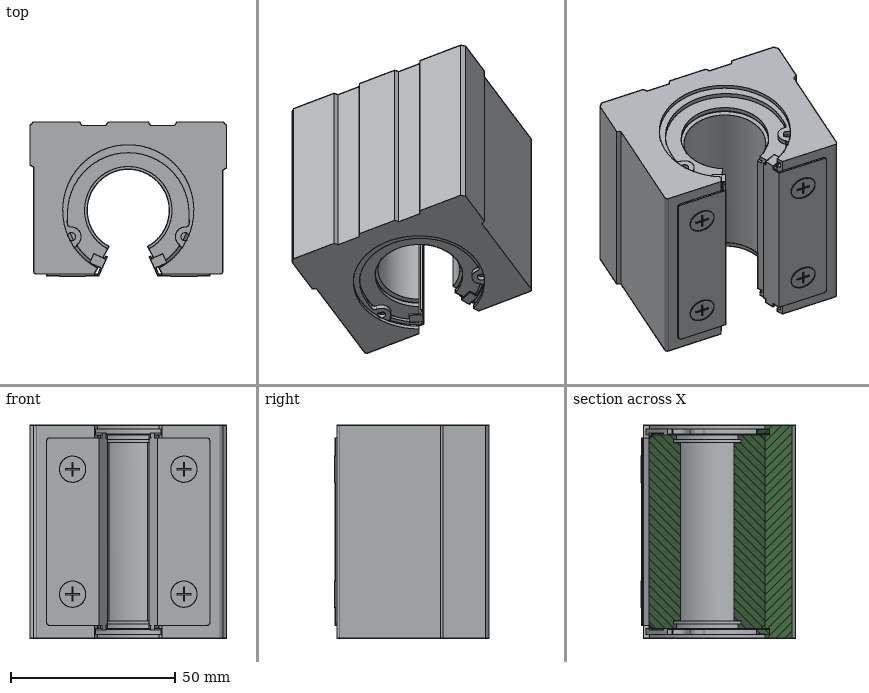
import cadquery as cq
import math


LENGTH = 65.0
WIDTH = 60.0
BACK_Y = 27.0
FRONT_Y = -19.45
BACK_CHAMFER = 1.1
FRONT_FILLET = 0.85
STEP_INSET = 1.2
STEP_DROP = 0.8
LEFT_STEP_Y = 13.85
RIGHT_STEP_Y = 12.95
GROOVE_CENTER_X = 10.45
GROOVE_FLOOR_WIDTH = 7.3
GROOVE_MOUTH_WIDTH = 8.8
GROOVE_DEPTH = 1.1

BORE_RADIUS = 40.0 / 2
SLOT_HALF_ANGLE = 28.0
RING_GROOVE_RADIUS = 21.2
RING_INSET = 1.25

BUSHING_INSET = 3.0
SHAFT_RADIUS = 12.5
MOUTH_RADIUS = 13.3
MOUTH_DEPTH = 1.4
SEAL_GROOVE_RADIUS = 14.0
SEAL_GROOVE_WIDTH = 0.9
BUSHING_CHAMFER = 1.0

RING_THICKNESS = 1.5
RING_INNER_RADIUS = 18.5
RING_INNER_OFFSET = 1.0
RING_END_ANGLE = 55.2
RING_END_INNER_RADIUS = 18.8
EAR_X = 17.3
EAR_Y = -8.05
EAR_RADIUS = 2.9
EAR_HOLE_RADIUS = 2.5 / 2
EAR_FILLET = 1.2

SHEET = 0.5
PLATE_OUTER_X = 24.9
PLATE_LENGTH = 57.2
PLATE_CORNER = 1.0
LEG_ANGLE = 24.2
LEG_TIP_RADIUS = 15.55
FLANGE_START = 16.4
FLANGE_END = 19.45
FLANGE_REACH = 4.15

HEAD_RADIUS = 8.0 / 2
HEAD_PROUD = 0.25
HEAD_X = 16.95
HEAD_Z = 19.05
CROSS_LENGTH = 4.2
CROSS_WIDTH = 0.4
CROSS_DEPTH = 0.5

HALF_LENGTH = LENGTH / 2
HALF_WIDTH = WIDTH / 2
BUSHING_END = HALF_LENGTH - BUSHING_INSET
PLATE_FRONT_Y = FRONT_Y - SHEET


def prism(sketch_points, z_low, z_high):
    """Polygon extruded along Z."""
    return cq.Workplane("XY").workplane(offset=z_low).polyline(sketch_points).close().extrude(z_high - z_low)


def rod(radius, z_low, z_high, x=0, y=0):
    """Round bar along Z."""
    return cq.Workplane("XY").workplane(offset=z_low).center(x, y).circle(radius).extrude(z_high - z_low)


def wedge(half_angle):
    """Full-length sector about -Y, long enough to pass through the block."""
    depth = 2 * BACK_Y
    half_mouth = depth * math.tan(math.radians(half_angle))
    points = [(0, 0), (-half_mouth, -depth), (half_mouth, -depth)]
    return prism(points, -LENGTH, LENGTH)


def both_ends(upper):
    """The given upper feature joined with its mirror image at the lower end."""
    return upper.union(upper.mirror("XY"))


def make_housing():
    lower_x = HALF_WIDTH - STEP_INSET
    points = [
        (-lower_x, FRONT_Y),
        (lower_x, FRONT_Y),
        (lower_x, RIGHT_STEP_Y - STEP_DROP),
        (HALF_WIDTH, RIGHT_STEP_Y),
        (HALF_WIDTH, BACK_Y - BACK_CHAMFER),
        (HALF_WIDTH - BACK_CHAMFER, BACK_Y),
        (-HALF_WIDTH + BACK_CHAMFER, BACK_Y),
        (-HALF_WIDTH, BACK_Y - BACK_CHAMFER),
        (-HALF_WIDTH, LEFT_STEP_Y),
        (-lower_x, LEFT_STEP_Y - STEP_DROP),
    ]
    body = prism(points, -HALF_LENGTH, HALF_LENGTH)
    body = body.edges("|Z and <Y").fillet(FRONT_FILLET)

    for center_x in (-GROOVE_CENTER_X, GROOVE_CENTER_X):
        groove = [
            (center_x - GROOVE_MOUTH_WIDTH / 2, BACK_Y),
            (center_x - GROOVE_FLOOR_WIDTH / 2, BACK_Y - GROOVE_DEPTH),
            (center_x + GROOVE_FLOOR_WIDTH / 2, BACK_Y - GROOVE_DEPTH),
            (center_x + GROOVE_MOUTH_WIDTH / 2, BACK_Y),
        ]
        body = body.cut(prism(groove, -HALF_LENGTH, HALF_LENGTH))

    ring_groove = rod(RING_GROOVE_RADIUS, BUSHING_END, HALF_LENGTH - RING_INSET)
    body = body.cut(rod(BORE_RADIUS, -HALF_LENGTH, HALF_LENGTH))
    body = body.cut(both_ends(ring_groove))
    return body.cut(wedge(SLOT_HALF_ANGLE))


def make_bushing():
    body = rod(BORE_RADIUS, -BUSHING_END, BUSHING_END)
    body = body.faces("|Z").edges().chamfer(BUSHING_CHAMFER)
    groove_top = BUSHING_END - MOUTH_DEPTH
    groove_bottom = groove_top - SEAL_GROOVE_WIDTH
    end_recess = rod(MOUTH_RADIUS, groove_top, BUSHING_END)
    end_recess = end_recess.union(rod(SEAL_GROOVE_RADIUS, groove_bottom, groove_top))
    bore = rod(SHAFT_RADIUS, -BUSHING_END, BUSHING_END).union(both_ends(end_recess))
    return body.cut(bore).cut(wedge(SLOT_HALF_ANGLE))


def make_upper_ring():
    z_high = HALF_LENGTH - RING_INSET
    z_low = z_high - RING_THICKNESS
    opening = rod(RING_INNER_RADIUS, z_low, z_high, y=-RING_INNER_OFFSET)
    straight_sides = [
        (-RING_INNER_RADIUS, -RING_INNER_OFFSET),
        (-RING_INNER_RADIUS, -RING_GROOVE_RADIUS),
        (RING_INNER_RADIUS, -RING_GROOVE_RADIUS),
        (RING_INNER_RADIUS, -RING_INNER_OFFSET),
    ]
    opening = opening.union(prism(straight_sides, z_low, z_high))
    for side in (-1, 1):
        opening = opening.cut(rod(EAR_RADIUS, z_low, z_high, side * EAR_X, EAR_Y))
    corner_x = RING_INNER_RADIUS - EAR_X
    corner_y = EAR_Y + math.sqrt(EAR_RADIUS**2 - corner_x**2)
    for side in (-1, 1):
        corner = cq.selectors.NearestToPointSelector((side * RING_INNER_RADIUS, corner_y, (z_low + z_high) / 2))
        opening = opening.edges("|Z").edges(corner).fillet(EAR_FILLET)

    neck = rod(RING_GROOVE_RADIUS, z_low, z_high).cut(rod(RING_END_INNER_RADIUS, z_low, z_high))
    ear_angle = math.degrees(math.atan2(EAR_X, -EAR_Y))
    opening = opening.cut(neck.intersect(wedge(ear_angle)))

    ring = rod(RING_GROOVE_RADIUS, z_low, z_high).cut(opening).cut(wedge(RING_END_ANGLE))
    for side in (-1, 1):
        ring = ring.cut(rod(EAR_HOLE_RADIUS, z_low, z_high, side * EAR_X, EAR_Y))
    return ring


def make_left_plate():
    angle = math.radians(LEG_ANGLE)

    def leg_point(radius, back):
        """Point at a distance along the leg and a distance behind its slot face."""
        x = -radius * math.sin(angle) - back * math.cos(angle)
        y = -radius * math.cos(angle) + back * math.sin(angle)
        return (x, y)

    half_length = PLATE_LENGTH / 2
    outer_corner_radius = -PLATE_FRONT_Y / math.cos(angle)
    inner_corner_radius = (-FRONT_Y + SHEET * math.sin(angle)) / math.cos(angle)
    section = [
        (-PLATE_OUTER_X, PLATE_FRONT_Y),
        leg_point(outer_corner_radius, 0),
        leg_point(LEG_TIP_RADIUS, 0),
        leg_point(LEG_TIP_RADIUS, SHEET),
        leg_point(inner_corner_radius, SHEET),
        (-PLATE_OUTER_X, FRONT_Y),
    ]
    plate = prism(section, -half_length, half_length)
    plate = plate.edges("|Y and <X").fillet(PLATE_CORNER)

    tab = [
        leg_point(FLANGE_START, 0),
        leg_point(FLANGE_END, 0),
        leg_point(FLANGE_END, SHEET),
        leg_point(FLANGE_START, SHEET),
    ]
    flange = [
        leg_point(FLANGE_START, 0),
        leg_point(FLANGE_END, 0),
        leg_point(FLANGE_END, FLANGE_REACH),
        leg_point(FLANGE_START, FLANGE_REACH),
    ]
    folded_tab = prism(tab, half_length, BUSHING_END)
    folded_tab = folded_tab.union(prism(flange, BUSHING_END, BUSHING_END + SHEET))
    plate = plate.union(both_ends(folded_tab))

    front = cq.Workplane("XZ", origin=(0, PLATE_FRONT_Y, 0))
    centers = [(-HEAD_X, -HEAD_Z), (-HEAD_X, HEAD_Z)]
    plate = plate.union(front.pushPoints(centers).circle(HEAD_RADIUS).extrude(HEAD_PROUD))
    head_face = front.workplane(offset=HEAD_PROUD).pushPoints(centers)
    plate = plate.cut(head_face.rect(CROSS_LENGTH, CROSS_WIDTH).extrude(-CROSS_DEPTH))
    return plate.cut(head_face.rect(CROSS_WIDTH, CROSS_LENGTH).extrude(-CROSS_DEPTH))


housing = make_housing()
bushing = make_bushing()
upper_ring = make_upper_ring()
retaining_rings = [upper_ring, upper_ring.mirror("XY")]
left_plate = make_left_plate()
holding_plates = [left_plate, left_plate.mirror("YZ")]

result = cq.Compound.makeCompound(
    [
        housing.val(),
        bushing.val(),
        *[ring.val() for ring in retaining_rings],
        *[plate.val() for plate in holding_plates],
    ]
)